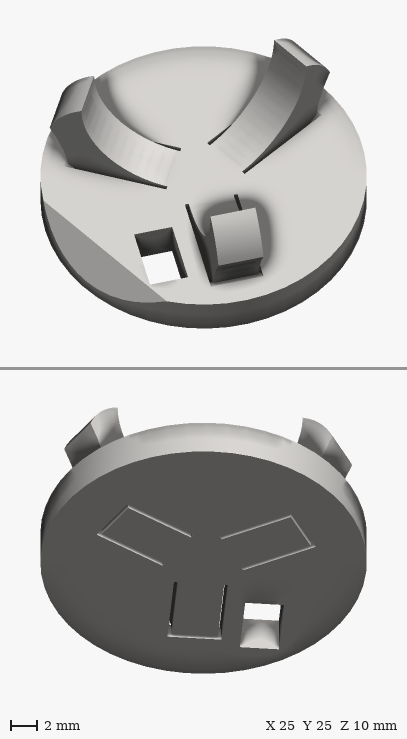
import cadquery as cq
import math

BASE_DIAMETER = 25.0
BASE_RADIUS = BASE_DIAMETER / 2
BASE_HEIGHT = 3.0
FLAT_CHAMFER = 2.0

TOTAL_HEIGHT = 10.0
JAW_ANGLES = (90.0, 210.0, 330.0)
JAW_WIDTH = 3.55
JAW_INNER = 2.68
JAW_TOP = 9.22
JAW_TIP = 11.75
JAW_TIP_HEIGHT = 7.0
JAW_BACK = 10.28
GRIP_RADIUS = 7.0
NOSE_SAG = 0.38
BACK_SAG = 0.2

SLOT_GAP = 0.3
SLOT_WIDTH = JAW_WIDTH + 2 * SLOT_GAP
SLOT_INNER = 2.38
SLOT_OUTER_TOP = 10.58
SLOT_OUTER_BOTTOM = 8.52
SLOT_WALL_RADIUS = 4.0

WINDOW_JAW_ANGLE = 330.0
WINDOW_LENGTH = 5.0
WINDOW_WIDTH = 3.0
WINDOW_DISTANCE = 6.75
WINDOW_OFFSET = -5.05


def arc_midpoint(start, end, sag):
    """Middle of an arc that bulges by sag to the left of the start-end chord."""
    run, rise = end[0] - start[0], end[1] - start[1]
    chord = math.hypot(run, rise)
    return (
        (start[0] + end[0]) / 2 - sag * rise / chord,
        (start[1] + end[1]) / 2 + sag * run / chord,
    )


def sag_of(start, end, radius):
    """Bulge of the minor arc of the given radius between two points."""
    half_chord = math.dist(start, end) / 2
    return radius - math.sqrt(radius**2 - half_chord**2)


def radial_profile():
    """Sketch in the radius-height plane; it extrudes evenly to both sides."""
    return cq.Workplane("XZ")


def make_base():
    base = cq.Workplane("XY").circle(BASE_RADIUS).extrude(BASE_HEIGHT)
    bevel = (
        cq.Workplane("YZ")
        .moveTo(-BASE_RADIUS, BASE_HEIGHT)
        .lineTo(-BASE_RADIUS + FLAT_CHAMFER, BASE_HEIGHT)
        .lineTo(-BASE_RADIUS, BASE_HEIGHT - FLAT_CHAMFER)
        .close()
        .extrude(BASE_RADIUS, both=True)
    )
    return base.cut(bevel)


def make_slot():
    wall_top = (SLOT_OUTER_TOP, BASE_HEIGHT)
    wall_bottom = (SLOT_OUTER_BOTTOM, 0)
    wall_sag = sag_of(wall_bottom, wall_top, SLOT_WALL_RADIUS)
    return (
        radial_profile()
        .moveTo(SLOT_INNER, 0)
        .lineTo(*wall_bottom)
        .threePointArc(arc_midpoint(wall_bottom, wall_top, wall_sag), wall_top)
        .lineTo(SLOT_INNER, BASE_HEIGHT)
        .close()
        .extrude(SLOT_WIDTH / 2, both=True)
    )


def make_jaw():
    root_bottom = (SLOT_OUTER_BOTTOM - SLOT_GAP, 0)
    root_top = (JAW_BACK, BASE_HEIGHT)
    tip = (JAW_TIP, JAW_TIP_HEIGHT)
    top = (JAW_TOP, TOTAL_HEIGHT)
    inner = (JAW_INNER, BASE_HEIGHT)
    root_sag = sag_of(root_bottom, root_top, SLOT_WALL_RADIUS + SLOT_GAP)
    grip_sag = sag_of(top, inner, GRIP_RADIUS)
    return (
        radial_profile()
        .moveTo(SLOT_INNER, 0)
        .lineTo(*root_bottom)
        .threePointArc(arc_midpoint(root_bottom, root_top, root_sag), root_top)
        .threePointArc(arc_midpoint(root_top, tip, BACK_SAG), tip)
        .threePointArc(arc_midpoint(tip, top, -NOSE_SAG), top)
        .threePointArc(arc_midpoint(top, inner, grip_sag), inner)
        .lineTo(SLOT_INNER, BASE_HEIGHT)
        .close()
        .extrude(JAW_WIDTH / 2, both=True)
    )


def make_window():
    return (
        cq.Workplane("XY")
        .center(WINDOW_DISTANCE, WINDOW_OFFSET)
        .rect(WINDOW_LENGTH, WINDOW_WIDTH)
        .extrude(BASE_HEIGHT)
    )


def turned(body, angle):
    return body.rotate((0, 0, 0), (0, 0, 1), angle)


result = make_base().cut(turned(make_window(), WINDOW_JAW_ANGLE))
for jaw_angle in JAW_ANGLES:
    result = result.cut(turned(make_slot(), jaw_angle))
    result = result.union(turned(make_jaw(), jaw_angle))